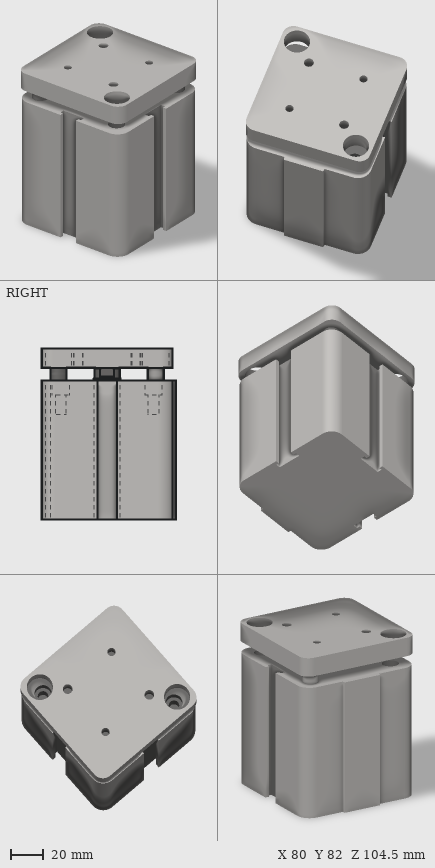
import cadquery as cq

side = 80.0
total_height = 104.5
plate_thickness = 12.0
lift_gap = 7.5
housing_height = total_height - plate_thickness - lift_gap
plate_bottom = housing_height + lift_gap

housing_corner_radius = 8.5
slot_opening = 11.9
slot_undercut = 2.0
slot_lip = 2.5
slot_depth = 5.5
pad_height = 2.0
pad_base_width = 26.1
pad_top_width = 25.3
mount_offset = 28.3
mount_hole_diameter = 6.5
mount_counterbore_diameter = 10.5
mount_counterbore_depth = 9.0
mount_hole_depth = 20.9
collar_diameter = 16.5
collar_height = 1.1
collar_chamfer = 0.3

plate_corner_radius = 6.8
guide_rod_diameter = 10.0
corner_offset = 29.7
access_hole_diameter = 16.0
fixing_offset = 17.7
dowel_hole_diameter = 5.0
screw_hole_diameter = 6.0
piston_rod_diameter = 15.6
across_flats = 13.0
flat_height = 5.3
rod_end_chamfer = 0.4


def on_diagonal(offset, rising):
    """Two opposite points on a diagonal; rising means X and Y have the same sign."""
    y_sign = 1 if rising else -1
    return [(-offset, -offset * y_sign), (offset, offset * y_sign)]


def rounded_block(height, radius, bottom):
    block = cq.Workplane("XY").workplane(offset=bottom).rect(side, side).extrude(height)
    return block.edges("|Z").fillet(radius)


def side_slot(angle):
    """T-slot cutter for the -X side, turned by the angle about the Z axis."""
    mouth = cq.Workplane("XY").box(slot_depth, slot_opening, housing_height, centered=(False, True, False))
    cavity_width = slot_opening + 2 * slot_undercut
    cavity = cq.Workplane("XY").box(
        slot_depth - slot_lip, cavity_width, housing_height, centered=(False, True, False)
    )
    cutter = mouth.union(cavity.translate((slot_lip, 0, 0)))
    return cutter.translate((-side / 2, 0, 0)).rotate((0, 0, 0), (0, 0, 1), angle)


def raised_pad():
    """Full-height pad with slightly sloping flanks on the +Y side."""
    outline = [
        (-pad_base_width / 2, side / 2),
        (pad_base_width / 2, side / 2),
        (pad_top_width / 2, side / 2 + pad_height),
        (-pad_top_width / 2, side / 2 + pad_height),
    ]
    return cq.Workplane("XY").polyline(outline).close().extrude(housing_height)


def make_housing():
    body = rounded_block(housing_height, housing_corner_radius, 0).union(raised_pad())
    for angle in (0, 90, 180):
        body = body.cut(side_slot(angle))
    body = (
        body.faces(">Z")
        .workplane(origin=(0, 0, housing_height))
        .pushPoints(on_diagonal(mount_offset, False))
        .cboreHole(
            mount_hole_diameter,
            mount_counterbore_diameter,
            mount_counterbore_depth,
            depth=mount_hole_depth,
        )
    )
    collar = (
        cq.Workplane("XY")
        .workplane(offset=housing_height)
        .circle(collar_diameter / 2)
        .circle(piston_rod_diameter / 2)
        .extrude(collar_height)
        .faces(">Z")
        .edges(cq.selectors.RadiusNthSelector(-1))
        .chamfer(collar_chamfer)
    )
    return body.union(collar)


def piston_rod():
    """Rod with two wrench flats, facing -X and +X, just below the plate."""
    rod = (
        cq.Workplane("XY")
        .workplane(offset=housing_height)
        .circle(piston_rod_diameter / 2)
        .extrude(lift_gap)
        .faces(">Z")
        .chamfer(rod_end_chamfer)
    )
    slab = (
        cq.Workplane("XY")
        .workplane(offset=plate_bottom - flat_height)
        .rect(across_flats, piston_rod_diameter)
        .extrude(flat_height)
    )
    full_round = (
        cq.Workplane("XY")
        .workplane(offset=housing_height)
        .circle(piston_rod_diameter / 2)
        .extrude(lift_gap - flat_height)
    )
    return rod.intersect(slab.union(full_round))


def make_yoke():
    plate = rounded_block(plate_thickness, plate_corner_radius, plate_bottom)
    for offset, rising, diameter in (
        (corner_offset, False, access_hole_diameter),
        (fixing_offset, False, screw_hole_diameter),
        (fixing_offset, True, dowel_hole_diameter),
    ):
        plate = (
            plate.faces(">Z")
            .workplane(origin=(0, 0, total_height))
            .pushPoints(on_diagonal(offset, rising))
            .hole(diameter)
        )
    guide_rods = (
        cq.Workplane("XY")
        .workplane(offset=housing_height)
        .pushPoints(on_diagonal(corner_offset, True))
        .circle(guide_rod_diameter / 2)
        .extrude(lift_gap)
    )
    return plate.union(guide_rods).union(piston_rod())


housing = make_housing()
yoke = make_yoke()

result = cq.Compound.makeCompound([housing.val(), yoke.val()])